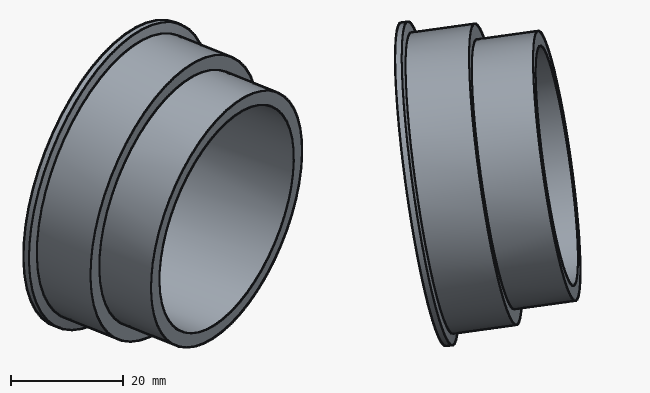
import cadquery as cq

total_length = 24.0
flange_diameter = 58.0
body_diameter = 54.0
spigot_diameter = 48.4
bore_diameter = 43.0
flange_rim_width = 1.2
flange_root_width = 1.55
spigot_length = 11.0

flange_radius = flange_diameter / 2
body_radius = body_diameter / 2
spigot_radius = spigot_diameter / 2
bore_radius = bore_diameter / 2
front_face = -total_length / 2
back_face = total_length / 2
rim_end = front_face + flange_rim_width
root_end = front_face + flange_root_width
shoulder = back_face - spigot_length

half_section = [
    (front_face, bore_radius),
    (front_face, flange_radius),
    (rim_end, flange_radius),
    (root_end, body_radius),
    (shoulder, body_radius),
    (shoulder, spigot_radius),
    (back_face, spigot_radius),
    (back_face, bore_radius),
]
result = (
    cq.Workplane("XZ")
    .polyline(half_section)
    .close()
    .revolve(360, (0, 0, 0), (1, 0, 0))
)